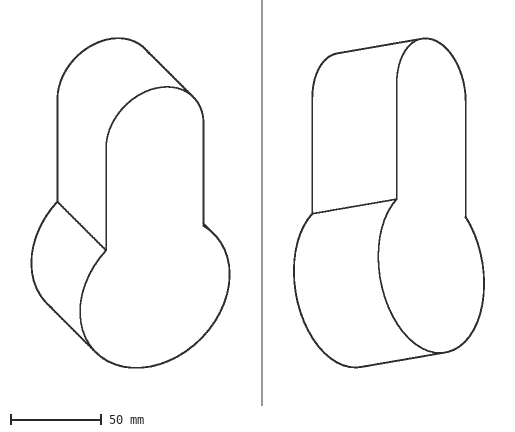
import cadquery as cq

height = 176.0
thickness = 60.0
head_diameter = 92.0
arm_width = 60.0

head_radius = head_diameter / 2
arm_radius = arm_width / 2
arm_length = height - head_radius - arm_radius


def make_head():
    """Round disc centred on the origin, with its axis along X."""
    return cq.Workplane("YZ").circle(head_radius).extrude(thickness / 2, both=True)


def make_arm():
    """Upright arm from the head centre, ending in a full half-round."""
    return (
        cq.Workplane("YZ")
        .moveTo(-arm_radius, 0)
        .lineTo(arm_radius, 0)
        .lineTo(arm_radius, arm_length)
        .threePointArc((0, arm_length + arm_radius), (-arm_radius, arm_length))
        .close()
        .extrude(thickness / 2, both=True)
    )


result = make_head().union(make_arm()).clean()